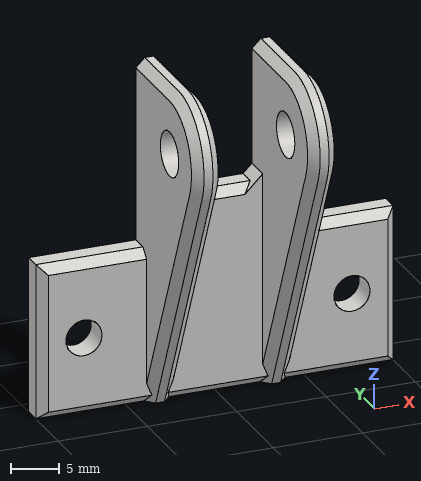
import cadquery as cq
import math

plate_width = 40.0
plate_height = 17.5
plate_thickness = 3.0
chamfer = 1.0

mount_hole_diameter = 4.0
mount_hole_spacing = 30.0
mount_hole_height = plate_height / 2

lug_thickness = 3.0
lug_gap = 10.0
lug_height = 38.0
lug_tip_radius = 7.0
lug_reach = 16.27
pin_hole_diameter = 5.0
pin_y = -(lug_reach - lug_tip_radius)
pin_z = lug_height - lug_tip_radius

web_height = 23.0
web_gusset = 1.0


def tip_point(angle):
    """Point (Y, Z) on the lug tip; the angle is measured from +Y towards +Z."""
    return (
        pin_y + lug_tip_radius * math.cos(angle),
        pin_z + lug_tip_radius * math.sin(angle),
    )


def make_plate():
    plate = cq.Workplane("XY").box(
        plate_width, plate_thickness, plate_height, centered=(True, False, False)
    )
    plate = plate.translate((0, -plate_thickness, 0))
    return plate.faces("<Y").edges().chamfer(chamfer)


def make_web():
    half_gap = lug_gap / 2
    gusset_foot = web_height - chamfer
    straight = (
        cq.Workplane("XY")
        .box(lug_gap, plate_thickness, web_height - plate_height / 2, centered=(True, False, False))
        .translate((0, -plate_thickness, plate_height / 2))
        .edges("<Y and >Z")
        .chamfer(chamfer)
    )
    gusset_leg = web_gusset + chamfer
    web = straight
    for side in (-1, 1):
        gusset = (
            cq.Workplane("XZ")
            .moveTo(side * half_gap, gusset_foot)
            .lineTo(side * (half_gap - gusset_leg), gusset_foot)
            .lineTo(side * half_gap, gusset_foot + gusset_leg)
            .close()
            .extrude(plate_thickness)
        )
        web = web.union(gusset)
    return web


def make_lug(x_start):
    toe_y = -plate_thickness
    toe_distance = math.hypot(toe_y - pin_y, pin_z)
    toe_angle = math.atan2(-pin_z, toe_y - pin_y)
    tangent_angle = toe_angle - math.acos(lug_tip_radius / toe_distance)
    lug = (
        cq.Workplane("YZ", origin=(x_start, 0, 0))
        .moveTo(0, 0)
        .lineTo(0, lug_height)
        .lineTo(pin_y, lug_height)
        .threePointArc(tip_point(math.pi), tip_point(tangent_angle))
        .lineTo(toe_y, 0)
        .close()
        .extrude(lug_thickness)
    )
    lug = lug.faces("<X or >X").edges("not(>Y or <Z)").chamfer(chamfer)
    pin_hole = (
        cq.Workplane("YZ", origin=(x_start, 0, 0))
        .center(pin_y, pin_z)
        .circle(pin_hole_diameter / 2)
        .extrude(lug_thickness)
    )
    return lug.cut(pin_hole)


def make_mount_holes():
    half_spacing = mount_hole_spacing / 2
    return (
        cq.Workplane("XZ")
        .pushPoints([(-half_spacing, mount_hole_height), (half_spacing, mount_hole_height)])
        .circle(mount_hole_diameter / 2)
        .extrude(plate_thickness)
    )


body = make_plate().union(make_web())
for lug_start in (-lug_gap / 2 - lug_thickness, lug_gap / 2):
    body = body.union(make_lug(lug_start))

result = body.cut(make_mount_holes())